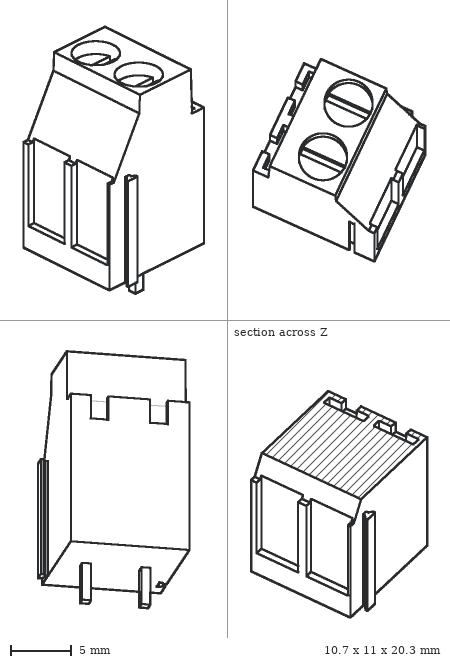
import cadquery as cq


pole_count = 2
pitch = 5.0
width = pole_count * pitch
depth = 11.0
total_height = 20.3
pin_length = 3.2
height = total_height - pin_length
pole_offset = 0.06
pole_centers = [(i + 0.5) * pitch + pole_offset for i in range(pole_count)]

front_top_z = 10.0
front_lip = 0.5
slope_end_y = 3.47
slope_end_z = height - 1.73
crown_front_y = 3.55
crown_back_y = depth - 1.52
ledge_front_y = depth - 1.38
ledge_z = height - 4.22

entry_width = 4.18
entry_depth = 0.67
entry_bottom_z = 2.3
entry_offset = 0.1

screw_y = 5.85
screw_radius = 1.99
well_depth = 1.22
slot_width = 0.63
slot_depth = 0.63

pocket_width = 3.95
pocket_mouth_width = 1.5
pocket_mouth_length = 0.65
pocket_depth = 2.03

pin_width = 0.75
pin_thickness = 0.93
pin_y = 5.55

joint_y = 2.05
joint_neck_width = 0.47
joint_tail_width = 1.1
overall_width = 10.65
joint_reach = overall_width - width
joint_neck_length = 0.2
joint_tail_length = 0.2


def make_housing():
    outline = [
        (0, 0),
        (depth, 0),
        (depth, ledge_z),
        (ledge_front_y, ledge_z),
        (crown_back_y, height),
        (crown_front_y, height),
        (slope_end_y, slope_end_z),
        (front_lip, front_top_z),
        (0, front_top_z),
    ]
    return cq.Workplane("YZ").polyline(outline).close().extrude(width)


def box_between(low, high):
    """Box spanning two opposite corners."""
    size = [b - a for a, b in zip(low, high)]
    return cq.Workplane("XY").box(*size, centered=False).translate(low)


def make_wire_entry(x):
    left = x + entry_offset - entry_width / 2
    return box_between((left, 0, entry_bottom_z), (left + entry_width, entry_depth, height))


def make_screw_well(x):
    head_z = height - well_depth
    well = cq.Workplane("XY", origin=(x, screw_y, head_z)).circle(screw_radius).extrude(well_depth)
    slot_bar = box_between(
        (x - slot_width / 2, screw_y - screw_radius, head_z - slot_depth),
        (x + slot_width / 2, screw_y + screw_radius, head_z),
    )
    head = cq.Workplane("XY", origin=(x, screw_y, head_z)).circle(screw_radius).extrude(-slot_depth)
    return well.union(slot_bar.intersect(head))


def make_ledge_pocket(x):
    bottom_z = ledge_z - pocket_depth
    mouth_y = depth - pocket_mouth_length
    wide_part = box_between(
        (x - pocket_width / 2, ledge_front_y, bottom_z),
        (x + pocket_width / 2, mouth_y, ledge_z),
    )
    mouth = box_between(
        (x - pocket_mouth_width / 2, mouth_y, bottom_z),
        (x + pocket_mouth_width / 2, depth, ledge_z),
    )
    return wide_part.union(mouth)


def make_pin(x):
    return cq.Workplane("XY", origin=(x, pin_y, 0)).rect(pin_width, pin_thickness).extrude(-pin_length)


def make_dovetail(base_x):
    """Upright dovetail bar that points to +X from base_x."""
    half_neck = joint_neck_width / 2
    half_tail = joint_tail_width / 2
    tail_start = joint_reach - joint_tail_length
    outline = [
        (0, -half_neck),
        (joint_neck_length, -half_neck),
        (tail_start, -half_tail),
        (joint_reach, -half_tail),
        (joint_reach, half_tail),
        (tail_start, half_tail),
        (joint_neck_length, half_neck),
        (0, half_neck),
    ]
    return cq.Workplane("XY", origin=(base_x, joint_y, 0)).polyline(outline).close().extrude(front_top_z)


result = make_housing().cut(make_dovetail(0)).union(make_dovetail(width))
for pole_x in pole_centers:
    result = (
        result.cut(make_wire_entry(pole_x))
        .cut(make_screw_well(pole_x))
        .cut(make_ledge_pocket(pole_x))
        .union(make_pin(pole_x))
    )